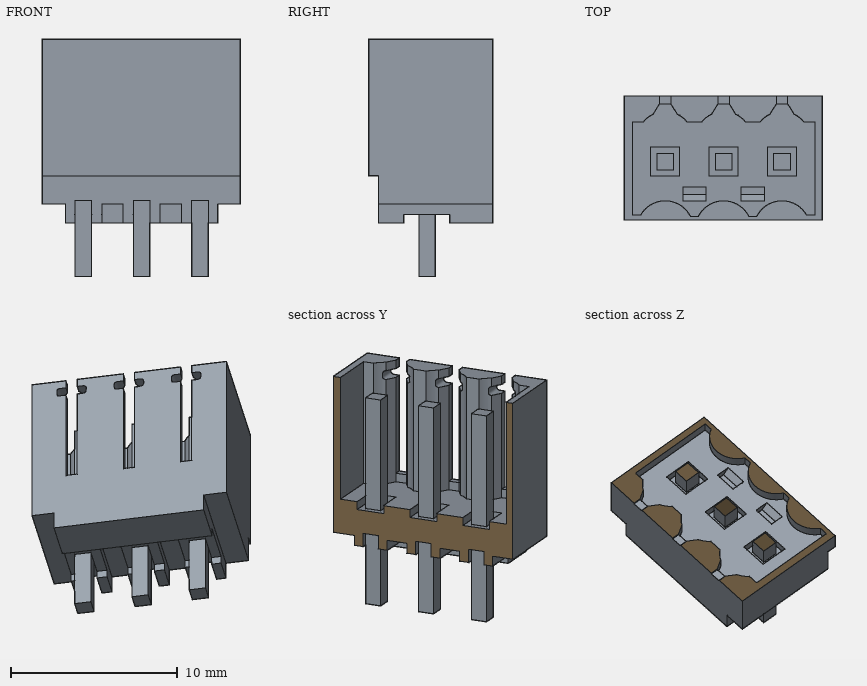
import cadquery as cq
import math


pin_count = 3
pitch = 3.5
row_x = 0.021
pin_size = 1.0
pin_y = 3.5
pin_top = 13.05

width = 11.9
depth = 7.45
top_z = 14.25
base_z = 4.35
ledge_z = 6.04
overhang = 0.58

standoff_width = 9.16
standoff_z = 3.22
channel_front = 2.11
channel_back = 4.86
channel_top = 3.72
pin_slot_top = 4.56
gap_width = 1.27

floor_thickness = 0.5
floor_z = ledge_z + floor_thickness
end_wall = 0.47
front_wall = 0.31
thin_front_wall = 0.21
cavity_back = 5.87
cavity_depth = top_z - floor_z

lobe_radius = 1.7
rib_reach = 1.15
socket_center_y = 4.82
socket_neck_half = 0.73

keyway_width = 0.68
keyway_inner_y = 6.97
keyway_floor_z = 7.08
cross_slot_width = 1.8
cross_slot_height = 0.55
cross_slot_radius = 0.19
cross_slot_top = 13.71

pin_pocket_size = 1.74
pin_pocket_depth = 0.5
vent_width = 1.4
vent_front = 1.15
vent_step = 1.52
vent_back = 2.0
vent_depth = 0.37

row_half = (pin_count - 1) / 2
pin_xs = [(i - row_half) * pitch + row_x for i in range(pin_count)]
gap_xs = [(i - row_half + 0.5) * pitch + row_x for i in range(pin_count - 1)]


def block(x_mid, x_size, y_min, y_max, z_min, z_max):
    """Box centred on x_mid, given by its limits in Y and Z."""
    solid = cq.Workplane("XY").box(x_size, y_max - y_min, z_max - z_min, centered=(True, False, False))
    return solid.translate((x_mid, y_min, z_min))


def housing_shell():
    body = block(0, width, overhang, depth, base_z, top_z)
    return body.union(block(0, width, 0, overhang, ledge_z, top_z))


def standoff():
    """Foot under the housing, with a crosswise channel and openings from the front."""
    body = block(row_x, standoff_width, overhang, depth, standoff_z, base_z)
    body = body.cut(block(row_x, standoff_width, channel_front, channel_back, standoff_z, channel_top))
    for x in gap_xs:
        body = body.cut(block(x, gap_width, overhang, channel_back, standoff_z, base_z))
    return body


def socket(x):
    """Arc-sided recess in the back wall that tapers into the keyway."""
    mouth_half = math.sqrt(lobe_radius**2 - (cavity_back - socket_center_y) ** 2)
    neck_y = socket_center_y + math.sqrt(lobe_radius**2 - socket_neck_half**2)
    middle_half = (mouth_half + socket_neck_half) / 2
    middle_y = socket_center_y + math.sqrt(lobe_radius**2 - middle_half**2)
    return (
        cq.Workplane("XY", origin=(x, 0, floor_z))
        .moveTo(-mouth_half, cavity_back)
        .threePointArc((-middle_half, middle_y), (-socket_neck_half, neck_y))
        .lineTo(-keyway_width / 2, keyway_inner_y)
        .lineTo(keyway_width / 2, keyway_inner_y)
        .lineTo(socket_neck_half, neck_y)
        .threePointArc((middle_half, middle_y), (mouth_half, cavity_back))
        .close()
        .extrude(cavity_depth)
    )


def rib(x):
    """Cylinder whose part inside the cavity is left standing on the front wall."""
    return (
        cq.Workplane("XY", origin=(x, rib_reach - lobe_radius, floor_z))
        .circle(lobe_radius)
        .extrude(cavity_depth)
    )


def cavity():
    space = block(row_x, width - 2 * end_wall, front_wall, cavity_back, floor_z, top_z)
    for x in gap_xs:
        space = space.union(block(x, pitch, thin_front_wall, front_wall, floor_z, top_z))
    for x in pin_xs:
        space = space.union(socket(x)).cut(rib(x))
    return space


def keyway(x):
    """Narrow slot open at the top, crossed by a wider slot with rounded corners."""
    narrow = block(x, keyway_width, keyway_inner_y, depth, keyway_floor_z, top_z)
    cross = (
        cq.Workplane("XZ", origin=(x, depth, cross_slot_top - cross_slot_height / 2))
        .rect(cross_slot_width, cross_slot_height)
        .extrude(depth - cavity_back)
        .edges("|Y")
        .fillet(cross_slot_radius)
    )
    return narrow.union(cross)


def pin_opening(x):
    """Floor pocket, through hole and front slot for one pin."""
    half_pocket = pin_pocket_size / 2
    half_pin = pin_size / 2
    pocket_z = floor_z - pin_pocket_depth
    pocket = block(x, pin_pocket_size, pin_y - half_pocket, pin_y + half_pocket, pocket_z, floor_z)
    hole = block(x, pin_size, pin_y - half_pin, pin_y + half_pin, standoff_z, floor_z)
    slot = block(x, pin_size, overhang, pin_y - half_pin, standoff_z, pin_slot_top)
    return pocket.union(hole).union(slot)


def vent(x):
    """Floor pocket with a ramp at its front."""
    return (
        cq.Workplane("YZ", origin=(x - vent_width / 2, 0, floor_z))
        .polyline([(vent_front, 0), (vent_step, -vent_depth), (vent_back, -vent_depth), (vent_back, 0)])
        .close()
        .extrude(vent_width)
    )


def make_housing():
    body = housing_shell().union(standoff()).cut(cavity())
    for x in pin_xs:
        body = body.cut(keyway(x)).cut(pin_opening(x))
    for x in gap_xs:
        body = body.cut(vent(x))
    return body


def make_pin(x):
    half_pin = pin_size / 2
    return block(x, pin_size, pin_y - half_pin, pin_y + half_pin, 0, pin_top)


housing = make_housing()
pins = [make_pin(x).val() for x in pin_xs]

result = cq.Compound.makeCompound([housing.val(), *pins])